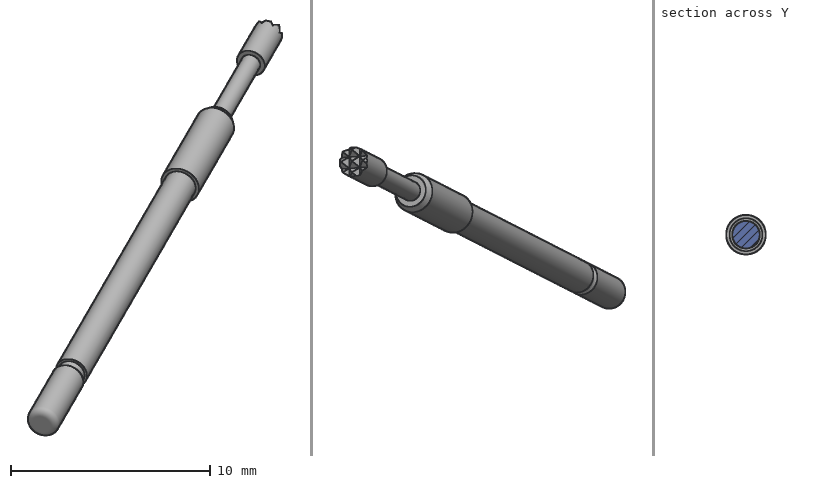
import cadquery as cq

total_length = 36.3
barrel_length = 22.05
collar_length = 6.0
collar_lead_in = 0.4
crown_length = 3.0
overhang = 1.0

collar_diameter = 2.0
collar_front_diameter = 1.6
barrel_diameter = 1.65
plunger_diameter = 1.0
crown_diameter = 1.48

end_round = 0.35

groove_start = 4.2
groove_width = 0.56
groove_depth = 0.13
groove_floor = 0.26

tooth_pitch = 0.58
tooth_depth = 0.4
grooves_per_direction = 4

barrel_end_y = -barrel_length
tip_y = total_length - barrel_length
collar_front_y = collar_length
crown_back_y = tip_y - crown_length


def cylinder(diameter, y_start, y_end):
    """Round bar along Y between two stations."""
    bar = cq.Workplane("XZ", origin=(0, y_start, 0)).circle(diameter / 2)
    return bar.extrude(y_start - y_end)


def make_barrel():
    """Tube body with a rounded closed end."""
    return cylinder(barrel_diameter, barrel_end_y, 0).faces("<Y").edges().fillet(end_round)


def make_collar():
    """Press-fit collar with a conical lead-in at its front."""
    radial_step = (collar_diameter - collar_front_diameter) / 2
    collar = cylinder(collar_diameter, 0, collar_front_y)
    return collar.faces(">Y").edges().chamfer(collar_lead_in, radial_step)


def make_plunger():
    """Thin shaft carrying the wider contact crown."""
    shaft = cylinder(plunger_diameter, collar_front_y - overhang, crown_back_y + overhang)
    return shaft.union(cylinder(crown_diameter, crown_back_y, tip_y))


def crimp_groove():
    """Ring removed from the barrel by the crimp groove."""
    outer = barrel_diameter / 2
    floor = outer - groove_depth
    runout_y = barrel_end_y + groove_start
    floor_y = runout_y + groove_width - groove_floor
    shoulder_y = runout_y + groove_width
    clearance = outer + overhang
    profile = (
        cq.Workplane("XY")
        .moveTo(clearance, shoulder_y)
        .lineTo(floor, shoulder_y)
        .lineTo(floor, floor_y)
        .tangentArcPoint((outer, runout_y), relative=False)
        .lineTo(clearance, runout_y)
        .close()
    )
    return profile.revolve(360, (0, 0, 0), (0, 1, 0))


def tooth_groove(offset):
    """V groove along Z, its root at X = offset."""
    half_width = tooth_pitch / 2
    vee = cq.Workplane("XY", origin=(0, 0, -crown_diameter)).polyline([
        (offset - half_width, tip_y),
        (offset, tip_y - tooth_depth),
        (offset + half_width, tip_y),
    ])
    return vee.close().extrude(2 * crown_diameter)


def cut_teeth(body):
    """Cut the crossing V grooves, leaving pyramid teeth on the pitch grid."""
    first_offset = -tooth_pitch * (grooves_per_direction - 1) / 2
    for index in range(grooves_per_direction):
        groove = tooth_groove(first_offset + index * tooth_pitch)
        body = body.cut(groove)
        body = body.cut(groove.rotate((0, 0, 0), (0, 1, 0), 90))
    return body


probe = make_barrel().union(make_collar()).union(make_plunger())
probe = probe.cut(crimp_groove())
result = cut_teeth(probe)